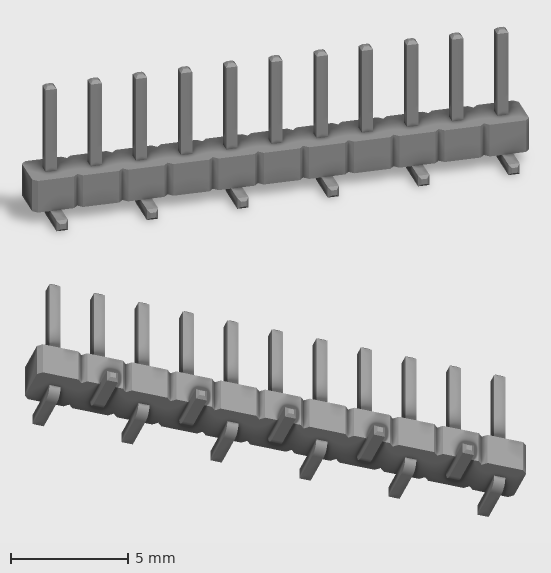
import cadquery as cq

pin_count = 11
pitch = 2.0
overall_width = 4.2
overall_height = 6.0

body_width = 2.0
body_height = 1.5
corner_cut = 0.2

pin_size = 0.5
bend_radius = pin_size
tip_chamfer = pin_size / 4

half_pin = pin_size / 2
leg_reach = overall_width / 2
body_bottom = pin_size
first_y = -pitch * (pin_count - 1) / 2


def body_segment():
    """One bevelled block of the body, centred on its pin."""
    return (
        cq.Workplane("XY", origin=(0, 0, body_bottom))
        .box(body_width, pitch, body_height, centered=(True, True, False))
        .edges("|Z")
        .chamfer(corner_cut)
    )


def bent_pin():
    """One L-shaped pin with its leg toward +X and chamfered tips."""
    profile = (
        cq.Workplane("XZ")
        .moveTo(-half_pin, overall_height)
        .lineTo(-half_pin, bend_radius)
        .radiusArc((-half_pin + bend_radius, 0), -bend_radius)
        .lineTo(leg_reach, 0)
        .lineTo(leg_reach, pin_size)
        .lineTo(half_pin, pin_size)
        .lineTo(half_pin, overall_height)
        .close()
    )
    pin = profile.extrude(half_pin, both=True)
    pin = pin.faces(">Z").chamfer(tip_chamfer)
    return pin.faces(">X").chamfer(tip_chamfer)


segment = body_segment()
right_pin = bent_pin()
left_pin = right_pin.mirror("YZ")

result = cq.Workplane("XY")
for index in range(pin_count):
    pin = right_pin if index % 2 == 0 else left_pin
    position = (0, first_y + index * pitch, 0)
    result = result.add(segment.union(pin).translate(position))
result = result.combine()